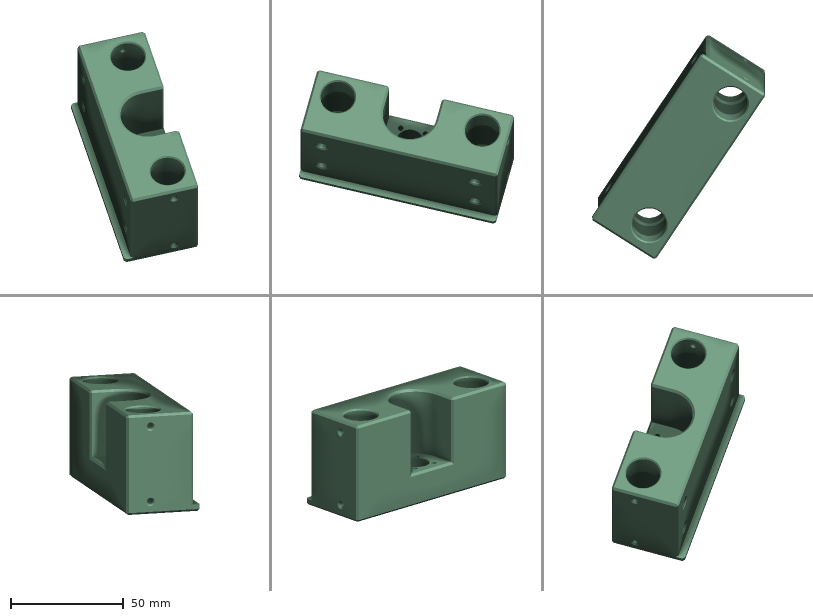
import cadquery as cq

LENGTH = 90.0
DEPTH = 34.0
HEIGHT = 45.0
LIP_REACH = 3.0
LIP_THICKNESS = 3.0
EDGE_CHAMFER = 1.0

FRONT_Y = -DEPTH / 2
BACK_Y = DEPTH / 2
BLOCK_FRONT_Y = FRONT_Y + LIP_REACH
BLOCK_DEPTH = BACK_Y - BLOCK_FRONT_Y

AXIS_Y = BACK_Y - 11.0

BORE_X = 33.0
BORE_DIAMETER = 15.2
BORE_MOUTH_CHAMFER = 0.6
RELIEF_DIAMETER = 17.2
RELIEF_LENGTH = 23.0

POCKET_WIDTH = 24.0
POCKET_FLOOR_Z = 15.0
SEAT_DIAMETER = 12.4
SEAT_HOLE_DEPTH = 10.0
SEAT_SCREW_DIAMETER = 2.5
SEAT_SCREW_CIRCLE = 16.0
SEAT_SCREW_START_ANGLE = 45.0
SEAT_SCREW_COUNT = 4

MOUNT_X = 35.0
MOUNT_DIAMETER = 5.0
MOUNT_CHAMFER = 0.65
MOUNT_LEVELS = (13.0, 33.0)

SET_SCREW_DIAMETER = 2.5
SET_SCREW_CHAMFER = 0.65
SET_SCREW_SPACING = 34.0

SIDES = (-1, 1)


def pocket():
    """U-shaped prism, round at the front and open through the top and back faces."""
    half_width = POCKET_WIDTH / 2
    return (
        cq.Workplane("XY", origin=(0, AXIS_Y, POCKET_FLOOR_Z))
        .moveTo(-half_width, BACK_Y - AXIS_Y)
        .lineTo(-half_width, 0)
        .threePointArc((0, -half_width), (half_width, 0))
        .lineTo(half_width, BACK_Y - AXIS_Y)
        .close()
        .extrude(HEIGHT - POCKET_FLOOR_Z)
    )


def make_body():
    """Pocketed block standing on a base plate whose front edge forms the lip."""
    base = (
        cq.Workplane("XY")
        .box(LENGTH, DEPTH, LIP_THICKNESS, centered=(True, True, False))
        .edges("|Z or <Z")
        .chamfer(EDGE_CHAMFER)
    )
    block = (
        cq.Workplane("XY", origin=(0, (BLOCK_FRONT_Y + BACK_Y) / 2, LIP_THICKNESS))
        .box(LENGTH, BLOCK_DEPTH, HEIGHT - LIP_THICKNESS, centered=(True, True, False))
        .cut(pocket())
    )
    top_rim = block.faces(">Z").edges()
    back_rim = block.faces(">Y").edges("not <Z")
    front_corners = block.faces("<Y").edges("|Z")
    block = block.newObject(top_rim.add(back_rim).add(front_corners).vals()).chamfer(EDGE_CHAMFER)
    return base.union(block)


def drill(start, direction, diameter, depth, mouth_chamfer):
    """Round cutter running from a face into the part, flared at the face."""
    origin = cq.Vector(*start)
    axis = cq.Vector(*direction)
    radius = diameter / 2
    shank = cq.Solid.makeCylinder(radius, depth, origin, axis)
    flare = cq.Solid.makeCone(radius + mouth_chamfer, radius, mouth_chamfer, origin, axis)
    return cq.Workplane(shank).union(cq.Workplane(flare))


def bearing_bore(x):
    """Through bore, flared at both ends, with a wider relief having 45 degree ends."""
    bore_radius = BORE_DIAMETER / 2
    mouth_radius = bore_radius + BORE_MOUTH_CHAMFER
    relief_radius = RELIEF_DIAMETER / 2
    relief_taper = relief_radius - bore_radius
    relief_bottom = (HEIGHT - RELIEF_LENGTH) / 2
    relief_top = relief_bottom + RELIEF_LENGTH
    half_section = [
        (0, 0),
        (mouth_radius, 0),
        (bore_radius, BORE_MOUTH_CHAMFER),
        (bore_radius, relief_bottom),
        (relief_radius, relief_bottom + relief_taper),
        (relief_radius, relief_top - relief_taper),
        (bore_radius, relief_top),
        (bore_radius, HEIGHT - BORE_MOUTH_CHAMFER),
        (mouth_radius, HEIGHT),
        (0, HEIGHT),
    ]
    return (
        cq.Workplane("XZ", origin=(x, AXIS_Y, 0))
        .polyline(half_section)
        .close()
        .revolve(360, (0, 0, 0), (0, 1, 0))
    )


def cut_bearing_bores(part):
    for side in SIDES:
        part = part.cut(bearing_bore(side * BORE_X))
    return part


def cut_seat(part):
    """Blind central hole in the pocket floor, ringed by blind screw holes."""
    floor = cq.Workplane("XY", origin=(0, AXIS_Y, POCKET_FLOOR_Z))
    seat_hole = floor.circle(SEAT_DIAMETER / 2).extrude(-SEAT_HOLE_DEPTH)
    screw_holes = (
        floor.polarArray(SEAT_SCREW_CIRCLE / 2, SEAT_SCREW_START_ANGLE, 360, SEAT_SCREW_COUNT)
        .circle(SEAT_SCREW_DIAMETER / 2)
        .extrude(-SEAT_HOLE_DEPTH)
    )
    return part.cut(seat_hole).cut(screw_holes)


def cut_mount_holes(part):
    """Front holes that break into the bearing bores."""
    hole_depth = AXIS_Y - BLOCK_FRONT_Y
    for side in SIDES:
        for level in MOUNT_LEVELS:
            start = (side * MOUNT_X, BLOCK_FRONT_Y, level)
            part = part.cut(drill(start, (0, 1, 0), MOUNT_DIAMETER, hole_depth, MOUNT_CHAMFER))
    return part


def cut_set_screw_holes(part):
    """End holes that break into the bearing bores."""
    hole_depth = LENGTH / 2 - BORE_X
    for side in SIDES:
        for offset in SIDES:
            level = (HEIGHT + offset * SET_SCREW_SPACING) / 2
            start = (side * LENGTH / 2, AXIS_Y, level)
            inward = (-side, 0, 0)
            part = part.cut(drill(start, inward, SET_SCREW_DIAMETER, hole_depth, SET_SCREW_CHAMFER))
    return part


body = make_body()
body = cut_bearing_bores(body)
body = cut_seat(body)
body = cut_mount_holes(body)
result = cut_set_screw_holes(body)